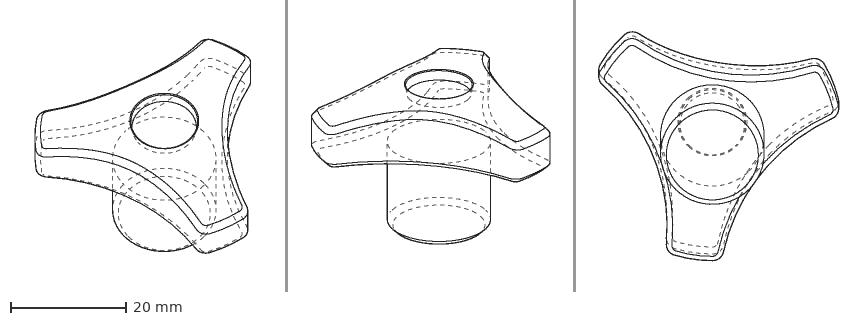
import cadquery as cq
import math

stem_diameter = 18.0
stem_height = 16.0
total_height = 27.0
edge_chamfer = 1.0

arm_count = 3
arm_reach = 22.5
waist_radius = 11.0
scallop_radius = 34.0
first_scallop_angle = -90.0
corner_radius = 2.0

flat_top_diameter = 15.0
top_slope = 13.0

recess_rim_diameter = 12.0
recess_mouth_diameter = 11.6
recess_floor_diameter = 11.2
recess_bevel_height = 0.15
recess_depth = 1.85

arm_pitch = 360.0 / arm_count
head_height = total_height - stem_height
flat_top_radius = flat_top_diameter / 2
rim_height = total_height - (arm_reach - flat_top_radius) * math.tan(math.radians(top_slope))
scallop_distance = waist_radius + scallop_radius


def make_domed_disc():
    """Round blank of the head: flat in the middle, sloping down to the rim."""
    return (
        cq.Workplane("XZ")
        .moveTo(0, stem_height)
        .lineTo(arm_reach, stem_height)
        .lineTo(arm_reach, rim_height)
        .lineTo(flat_top_radius, total_height)
        .lineTo(0, total_height)
        .close()
        .revolve(360, (0, 0, 0), (0, 1, 0))
    )


def make_scallop(angle):
    """Upright cylinder that hollows the blank between two arms."""
    return (
        cq.Workplane("XY", origin=(0, 0, stem_height))
        .transformed(rotate=(0, 0, angle))
        .center(scallop_distance, 0)
        .circle(scallop_radius)
        .extrude(head_height)
    )


def make_head():
    """Three-armed grip with rounded arm corners and chamfered rims."""
    head = make_domed_disc()
    for index in range(arm_count):
        head = head.cut(make_scallop(first_scallop_angle + index * arm_pitch))
    head = head.edges("|Z").fillet(corner_radius)
    outer_walls = head.faces("not(<Z or >Z)").faces("not %CONE")
    return outer_walls.edges("not |Z").chamfer(edge_chamfer)


def make_stem():
    """Cylindrical hub below the head with a chamfered foot."""
    return (
        cq.Workplane("XY")
        .circle(stem_diameter / 2)
        .extrude(stem_height)
        .faces("<Z")
        .chamfer(edge_chamfer)
    )


def make_recess():
    """Round pocket in the flat top: bevelled rim and a slightly tapered wall."""
    floor_height = total_height - recess_depth
    return (
        cq.Workplane("XZ")
        .moveTo(0, floor_height)
        .lineTo(recess_floor_diameter / 2, floor_height)
        .lineTo(recess_mouth_diameter / 2, total_height - recess_bevel_height)
        .lineTo(recess_rim_diameter / 2, total_height)
        .lineTo(0, total_height)
        .close()
        .revolve(360, (0, 0, 0), (0, 1, 0))
    )


result = make_head().union(make_stem()).cut(make_recess())